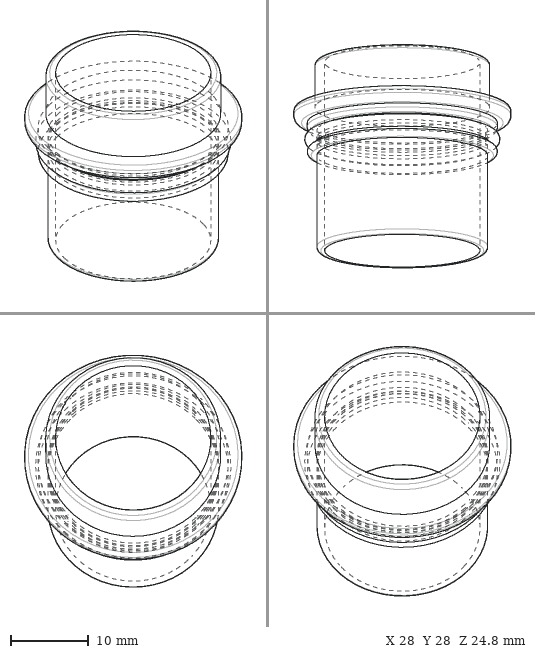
import cadquery as cq

total_height = 24.8
bore_diameter = 20.0
body_diameter = 22.0
collar_diameter = 22.55
collar_height = 6.0
edge_radius = 0.5

flange_diameter = 28.0
flange_thickness = 2.0
flange_lower_radius = 2 * edge_radius

shoulder_diameter = 24.5
shoulder_height = 1.05
rib_thickness = 2 * edge_radius
groove_width = 2.25

seal_outer_diameter = 25.15
seal_section_diameter = 1.6

flange_top = total_height - collar_height
flange_bottom = flange_top - flange_thickness
shoulder_bottom = flange_bottom - shoulder_height
rib_top = shoulder_bottom - groove_width
rib_bottom = rib_top - rib_thickness
seal_level = (shoulder_bottom + rib_top) / 2


def disc(diameter, bottom, top):
    """Solid cylinder about Z between two levels."""
    return cq.Workplane("XY").workplane(offset=bottom).circle(diameter / 2).extrude(top - bottom)


def round_ring(outer_diameter, section_diameter, level):
    """Torus about Z with the given outer diameter."""
    center_radius = (outer_diameter - section_diameter) / 2
    return (
        cq.Workplane("XZ")
        .center(-center_radius, level)
        .circle(section_diameter / 2)
        .revolve(360, (center_radius, 0), (center_radius, 1))
    )


body = disc(body_diameter, 0, flange_top).faces("<Z").edges().fillet(edge_radius)
collar = disc(collar_diameter, flange_bottom, total_height).faces(">Z").edges().fillet(edge_radius)

flange = disc(flange_diameter, flange_bottom, flange_top)
flange = flange.faces(">Z").edges().fillet(edge_radius)
flange = flange.faces("<Z").edges().fillet(flange_lower_radius)

shoulder = disc(shoulder_diameter, shoulder_bottom, flange_top)
shoulder = shoulder.faces("<Z").edges().fillet(edge_radius)

rib = disc(shoulder_diameter - rib_thickness, rib_bottom, rib_top)
rib = rib.union(round_ring(shoulder_diameter, rib_thickness, (rib_bottom + rib_top) / 2))

seal = round_ring(seal_outer_diameter, seal_section_diameter, seal_level)

outside = body.union(collar).union(flange).union(shoulder).union(rib).union(seal)
result = outside.cut(disc(bore_diameter, 0, total_height))